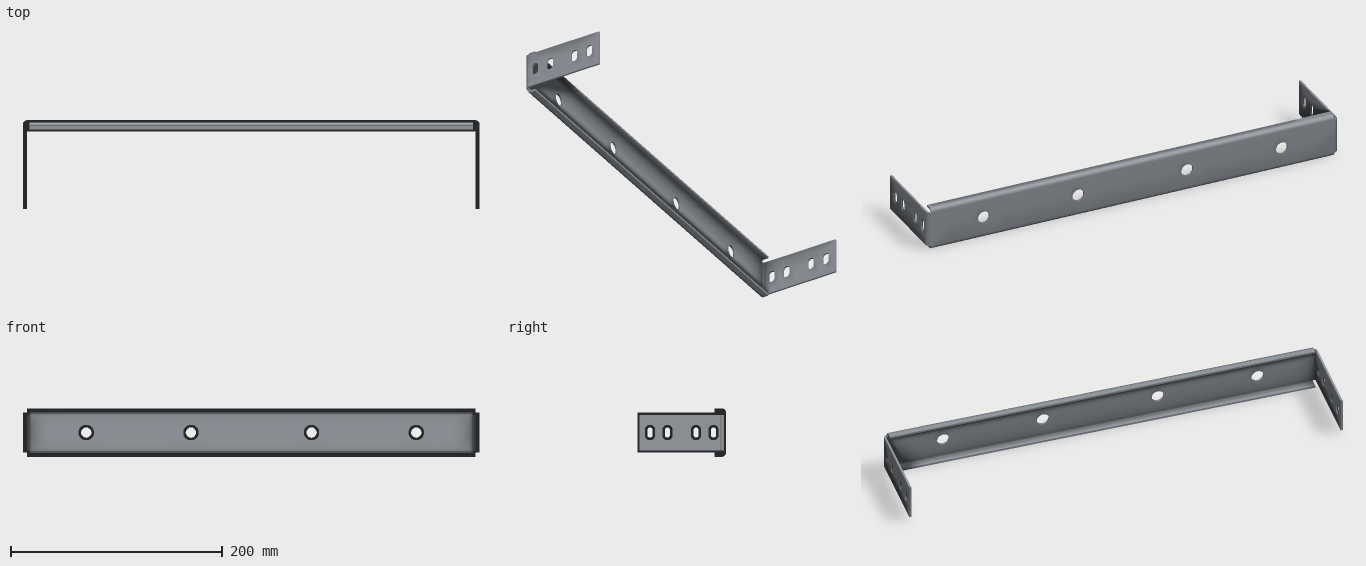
import cadquery as cq

length = 430.0
depth = 82.0
height = 44.0

sheet_thickness = 2.0
bend_outer_radius = 4.0
bend_inner_radius = bend_outer_radius - sheet_thickness

flange_depth = 9.0
flange_length = length - 2 * bend_outer_radius

arm_height = height - 2 * bend_outer_radius

web_hole_diameter = 12.0
web_hole_inner_offset = 57.0
web_hole_pitch = 99.0

slot_height = 12.0
slot_width = 7.0
slot_outer_offset = 30.0
slot_pitch = 16.5

back_y = depth / 2


def rounded_block(plane, width, block_depth, back, radius, extent, bend_axis):
    """Block reaching from y = back toward -Y, with its two back edges rounded."""
    return (
        cq.Workplane(plane)
        .center(0, back - block_depth / 2)
        .rect(width, block_depth)
        .extrude(extent / 2, both=True)
        .faces(">Y")
        .edges("|" + bend_axis)
        .fillet(radius)
    )


def channel(plane, width, leg_depth, extent, bend_axis):
    """Bent U channel: web along the back face, both legs folded toward -Y."""
    outer = rounded_block(plane, width, leg_depth, back_y, bend_outer_radius, extent, bend_axis)
    inner = rounded_block(
        plane,
        width - 2 * sheet_thickness,
        leg_depth - sheet_thickness,
        back_y - sheet_thickness,
        bend_inner_radius,
        extent,
        bend_axis,
    )
    return outer.cut(inner)


def web_holes():
    """Cylinders along Y for the row of round holes in the web."""
    offsets = (web_hole_inner_offset, web_hole_inner_offset + web_hole_pitch)
    points = [(side * offset, 0) for side in (-1, 1) for offset in offsets]
    return (
        cq.Workplane("XZ")
        .pushPoints(points)
        .circle(web_hole_diameter / 2)
        .extrude(depth, both=True)
    )


def arm_slots():
    """Upright slot tools running along X through both arms."""
    offsets = (slot_outer_offset, slot_outer_offset - slot_pitch)
    points = [(side * offset, 0) for side in (-1, 1) for offset in offsets]
    return (
        cq.Workplane("YZ")
        .pushPoints(points)
        .slot2D(slot_height, slot_width, 90)
        .extrude(length, both=True)
    )


flange_plane = cq.Plane(origin=(0, 0, 0), xDir=(0, 0, 1), normal=(-1, 0, 0))
arm_channel = channel(cq.Plane.XY(), length, depth, arm_height, "Z")
flange_channel = channel(flange_plane, height, flange_depth, flange_length, "X")

result = arm_channel.union(flange_channel).cut(web_holes()).cut(arm_slots())